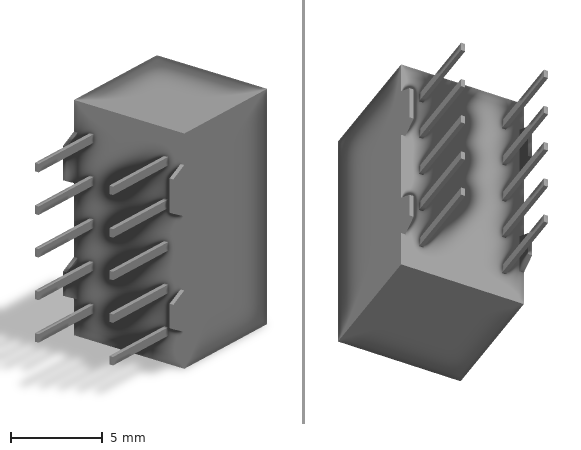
import cadquery as cq

BODY_WIDTH = 7.5
BODY_DEPTH = 7.5
BODY_HEIGHT = 14.0

PIN_LENGTH = 5.0
PIN_WIDTH = 0.25
PIN_HEIGHT = 0.5
PIN_PITCH = 2.53
PINS_PER_COLUMN = 5
COLUMN_SPACING = 2 * PIN_PITCH

TAB_THICKNESS = 0.25
TAB_REACH = 1.0
TAB_TAPER = 0.5
UPPER_TAB_TOP = 5.12
UPPER_TAB_BOTTOM = 2.07
LOWER_TAB_TOP = -2.34
LOWER_TAB_BOTTOM = -4.8


def make_body():
    """Plain block, centred on X and Z, lying behind the front face."""
    return cq.Workplane("XY").box(BODY_WIDTH, BODY_DEPTH, BODY_HEIGHT).translate((0, BODY_DEPTH / 2, 0))


def make_pins():
    """Grid of leads running from the front face toward -Y."""
    return (
        cq.Workplane("XZ")
        .rarray(COLUMN_SPACING, PIN_PITCH, 2, PINS_PER_COLUMN)
        .rect(PIN_WIDTH, PIN_HEIGHT)
        .extrude(PIN_LENGTH)
    )


def make_tab(left_x, top, bottom):
    """Tab with sloped ends, its left side at left_x, narrowing away from the body."""
    outline = [
        (0, top),
        (-TAB_REACH, top - TAB_TAPER),
        (-TAB_REACH, bottom + TAB_TAPER),
        (0, bottom),
    ]
    return cq.Workplane("YZ", origin=(left_x, 0, 0)).polyline(outline).close().extrude(TAB_THICKNESS)


result = make_body().union(make_pins())

left_edges = (-BODY_WIDTH / 2, BODY_WIDTH / 2 - TAB_THICKNESS)
for left_edge in left_edges:
    result = result.union(make_tab(left_edge, UPPER_TAB_TOP, UPPER_TAB_BOTTOM))
    result = result.union(make_tab(left_edge, LOWER_TAB_TOP, LOWER_TAB_BOTTOM))